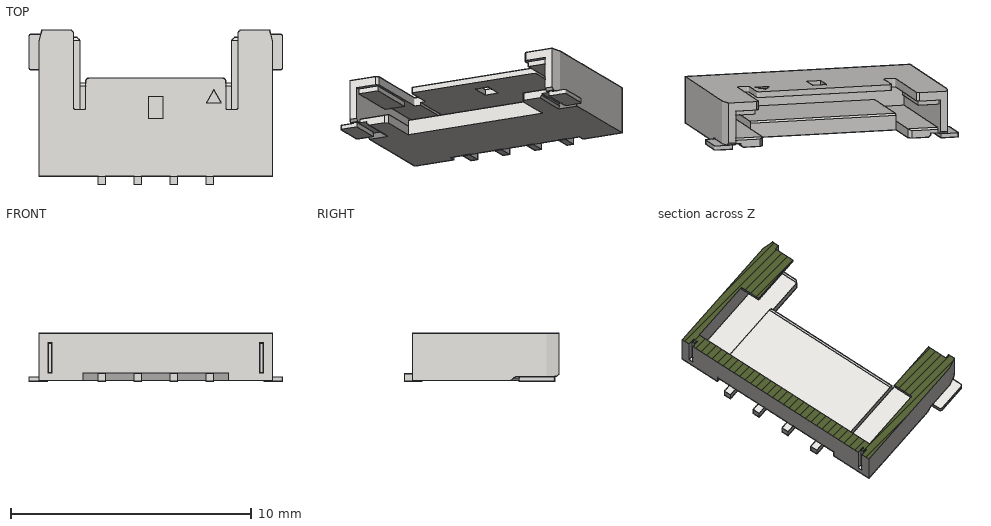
import cadquery as cq

body_width = 9.73
body_length = 6.1
total_height = 2.0
standoff = 0.03
half_width = body_width / 2

overrun = 0.11
pick_tolerance = 0.01

arm_inner_x = 3.42
arm_taper_width = 0.13
arm_taper_length = 0.51
arm_inner_chamfer = 0.11
arm_tip_chamfer = 0.11

tongue_half_width = 2.91
tongue_end_y = 4.09
tongue_corner_radius = 0.13
slit_root_y = 2.79
slit_corner_radius = 0.07

cavity_half_width = 4.42
cavity_front_y = 0.63
roof_thickness = 0.24
arm_roof_thickness = 0.36

floor_top_z = 0.72
floor_end_y = 3.89
rail_top_z = 0.41
rail_inner_x = 3.14
rail_end_y = 5.79
rail_corner_width = 0.14
lead_in_length = 0.14
lead_in_drop = 0.06

rib_inner_x = 3.52
rib_start_y = 3.52
rib_end_y = 5.9
rib_depth = 0.21

window_width = 0.6
window_length = 0.91
window_center_y = 2.87
mark_center_x = 2.42
mark_width = 0.61
mark_base_y = 3.06
mark_length = 0.55
mark_depth = 0.06

pin_count = 4
pin_pitch = 1.5
pin_width = 0.32
pin_height = 0.32
pin_overhang = 0.34
pin_end_y = 0.4
relief_width = 6.05
relief_top_z = 0.34
relief_ceiling_depth = 0.18
relief_slope_run = 0.16

slot_center_x = 4.4
slot_width = 0.18
slot_bottom_z = 0.34
slot_top_z = 1.6
slot_depth = 0.32
plate_clearance = 0.03
plate_recess = 0.16

tab_outer_x = 5.28
tab_inner_x = 4.5
tab_start_y = 4.43
tab_end_y = 5.92
tab_thickness = 0.18
tab_corner_radius = 0.1
stem_thickness = 0.17
notch_start_y = 4.08
notch_slope_run = 0.21
notch_top_z = 0.2
notch_inner_x = 4.01
notch_side_bevel = 0.1


def box(x_range, y_range, z_range):
    """Axis-aligned block between the given limits."""
    size = [high - low for low, high in (x_range, y_range, z_range)]
    corner = (x_range[0], y_range[0], z_range[0])
    return cq.Workplane("XY").box(*size, centered=False).translate(corner)


def both_sides(solid):
    """The solid together with its mirror image across the YZ plane."""
    return solid.union(solid.mirror("YZ"))


def extrude_along_x(points, x_range):
    """Prism with a (Y, Z) outline spanning the given X limits."""
    length = x_range[1] - x_range[0]
    return cq.Workplane("YZ", origin=(x_range[0], 0, 0)).polyline(points).close().extrude(length)


def make_block():
    """Solid block with both tips tapered outside and chamfered underneath."""
    taper_y = body_length - arm_taper_length
    tip_x = half_width - arm_taper_width
    outline = [
        (-half_width, 0),
        (half_width, 0),
        (half_width, taper_y),
        (tip_x, body_length),
        (-tip_x, body_length),
        (-half_width, taper_y),
    ]
    height = total_height - standoff
    return cq.Workplane("XY", origin=(0, 0, standoff)).polyline(outline).close().extrude(height)


def make_cavity():
    """Plug space above the floor and rails, leaving the roof and the arm ribs."""
    past_end = body_length + overrun
    past_bottom = -overrun
    tongue_roof_z = total_height - roof_thickness
    arm_roof_z = total_height - arm_roof_thickness
    center = box((-rail_inner_x, rail_inner_x), (cavity_front_y, past_end), (floor_top_z, tongue_roof_z))
    center = center.union(
        box((-rail_inner_x, rail_inner_x), (floor_end_y, past_end), (past_bottom, tongue_roof_z))
    )
    side = box((rail_inner_x, cavity_half_width), (cavity_front_y, past_end), (rail_top_z, arm_roof_z))
    side = side.union(
        box((rail_inner_x, cavity_half_width), (rail_end_y, past_end), (past_bottom, arm_roof_z))
    )
    rib = box(
        (rib_inner_x, cavity_half_width), (rib_start_y, rib_end_y), (arm_roof_z - rib_depth, arm_roof_z)
    )
    return center.union(both_sides(side.cut(rib)))


def make_lead_in(x_range, end_y, top_z):
    """Shallow wedge that bevels the rear edge of a floor surface."""
    points = [(end_y - lead_in_length, top_z), (end_y, top_z), (end_y, top_z - lead_in_drop)]
    return extrude_along_x(points, x_range)


def make_rail_corner():
    """Upright wedge that bevels the inner rear corner of one rail."""
    points = [
        (rail_inner_x, rail_end_y - lead_in_length),
        (rail_inner_x, rail_end_y),
        (rail_inner_x + rail_corner_width, rail_end_y),
    ]
    return cq.Workplane("XY").polyline(points).close().extrude(rail_top_z)


def make_mouth():
    """Upright cutter for the open space between the arms, with the slits beside the tongue."""
    past_end = body_length + overrun
    roof_bottom_z = total_height - arm_roof_thickness
    roof_range = (roof_bottom_z, total_height)
    opening = box((-arm_inner_x, arm_inner_x), (slit_root_y, past_end), roof_range)
    opening = opening.edges("|Z and <Y").fillet(slit_corner_radius)
    tongue = box((-tongue_half_width, tongue_half_width), (0, tongue_end_y), roof_range)
    tongue = tongue.edges("|Z and >Y").fillet(tongue_corner_radius)
    mouth = opening.cut(tongue)
    root_corners = cq.selectors.BoxSelector(
        (-tongue_half_width - pick_tolerance, slit_root_y - pick_tolerance, 0),
        (tongue_half_width + pick_tolerance, slit_root_y + pick_tolerance, total_height),
    )
    return mouth.edges("|Z").edges(root_corners).fillet(slit_corner_radius)


def make_notch():
    """Clearance under one arm, sloped at its front and bevelled along its inner side."""
    side_x = notch_inner_x + notch_side_bevel
    past_end = body_length + overrun
    past_side = half_width + overrun
    y_profile = [
        (notch_start_y, standoff),
        (notch_start_y + notch_slope_run, notch_top_z),
        (body_length - arm_tip_chamfer, notch_top_z),
        (past_end, notch_top_z + arm_tip_chamfer + overrun),
        (past_end, standoff),
    ]
    x_profile = [
        (notch_inner_x, standoff),
        (side_x, standoff + notch_side_bevel),
        (side_x, total_height),
        (past_side, total_height),
        (past_side, standoff),
    ]
    across = extrude_along_x(y_profile, (notch_inner_x, past_side))
    along = cq.Workplane("XZ").polyline(x_profile).close().extrude(-past_end)
    return across.intersect(along)


def make_relief():
    """Recess under the front wall with a steep sloped back."""
    points = [
        (0, standoff),
        (0, relief_top_z),
        (relief_ceiling_depth, relief_top_z),
        (relief_ceiling_depth + relief_slope_run, standoff),
    ]
    return extrude_along_x(points, (-relief_width / 2, relief_width / 2))


def make_plate_slot():
    """Upright front slot around the recessed end of a retention plate."""
    half_slot = slot_width / 2
    half_plate = half_slot - plate_clearance
    slot = box(
        (slot_center_x - half_slot, slot_center_x + half_slot),
        (0, slot_depth),
        (slot_bottom_z, slot_top_z),
    )
    plate = box(
        (slot_center_x - half_plate, slot_center_x + half_plate),
        (plate_recess, slot_depth),
        (slot_bottom_z + plate_clearance, slot_top_z - plate_clearance),
    )
    return slot.cut(plate)


def make_window():
    """Rectangular opening through the roof."""
    half_length = window_length / 2
    return box(
        (-window_width / 2, window_width / 2),
        (window_center_y - half_length, window_center_y + half_length),
        (total_height - roof_thickness, total_height),
    )


def make_mark():
    """Shallow triangle sunk into the roof."""
    points = [
        (mark_center_x - mark_width / 2, mark_base_y),
        (mark_center_x + mark_width / 2, mark_base_y),
        (mark_center_x, mark_base_y + mark_length),
    ]
    plane = cq.Workplane("XY", origin=(0, 0, total_height - mark_depth))
    return plane.polyline(points).close().extrude(mark_depth)


def make_pin(center_x):
    """Square contact tail running out under the front wall."""
    half_pin = pin_width / 2
    return box((center_x - half_pin, center_x + half_pin), (-pin_overhang, pin_end_y), (0, pin_height))


def make_tab():
    """Flat solder tab with a short stem rising into the arm."""
    y_range = (tab_start_y, tab_end_y)
    tab = box((tab_inner_x, tab_outer_x), y_range, (0, tab_thickness))
    tab = tab.edges("|Z and >X").fillet(tab_corner_radius)
    stem = box((tab_inner_x, tab_inner_x + stem_thickness), y_range, (0, rail_top_z))
    return tab.union(stem)


housing = make_block().cut(make_cavity()).cut(make_mouth())
arm_tip_corners = cq.selectors.BoxSelector(
    (-arm_inner_x - pick_tolerance, body_length - pick_tolerance, 0),
    (arm_inner_x + pick_tolerance, body_length + pick_tolerance, total_height),
)
housing = housing.edges("|Z").edges(arm_tip_corners).chamfer(arm_inner_chamfer)
housing = housing.cut(make_lead_in((-rail_inner_x, rail_inner_x), floor_end_y, floor_top_z))
housing = housing.cut(both_sides(make_lead_in((rail_inner_x, cavity_half_width), rail_end_y, rail_top_z)))
housing = housing.cut(both_sides(make_rail_corner()))
housing = housing.cut(both_sides(make_notch()))
housing = housing.cut(make_relief())
housing = housing.cut(both_sides(make_plate_slot()))
housing = housing.cut(make_window()).cut(make_mark())

result = housing.union(both_sides(make_tab()))
for index in range(pin_count):
    pin_x = (index - (pin_count - 1) / 2) * pin_pitch
    result = result.union(make_pin(pin_x))